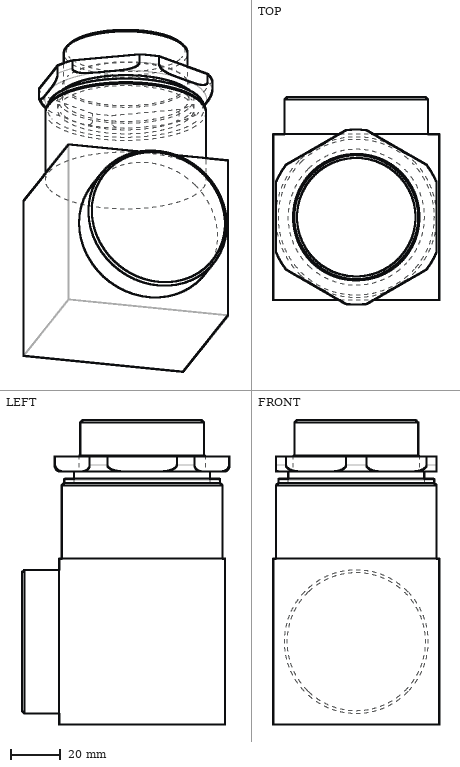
import cadquery as cq
import math

total_height = 123.0
cube_side = 67.0
cube_edge_radius = 0.2
spigot_diameter = 58.0
spigot_length = 15.0
end_chamfer = 1.1

collar_diameter = 65.0
collar_top_z = 97.5
gasket_diameter = 63.0
collar_chamfer = (collar_diameter - gasket_diameter) / 2
neck_diameter = 55.0
nut_seat_diameter = 51.0
thread_diameter = 50.0
nut_seat_chamfer = (nut_seat_diameter - thread_diameter) / 2

gasket_thickness = 1.7
gasket_edge_radius = 0.5

nut_bottom_z = 102.1
nut_thickness = 6.2
nut_top_z = nut_bottom_z + nut_thickness
nut_across_flats = 65.0
nut_corner_diameter = 70.7
nut_edge_radius = 2.7


def cylinder(diameter, bottom_z, top_z):
    """Upright cylinder on the Z axis between two heights."""
    return cq.Workplane("XY").workplane(offset=bottom_z).circle(diameter / 2).extrude(top_z - bottom_z)


def make_housing():
    cube = cq.Workplane("XY").box(cube_side, cube_side, cube_side, centered=(True, True, False))
    cube = cube.edges().fillet(cube_edge_radius)
    spigot = (
        cq.Workplane("XZ", origin=(0, cube_side / 2, cube_side / 2))
        .circle(spigot_diameter / 2)
        .extrude(-spigot_length)
        .faces(">Y")
        .chamfer(end_chamfer)
    )
    return cube.union(spigot)


def make_gland():
    collar = cylinder(collar_diameter, cube_side, collar_top_z).faces(">Z").chamfer(collar_chamfer)
    neck = cylinder(neck_diameter, collar_top_z, nut_bottom_z)
    nut_seat = (
        cylinder(nut_seat_diameter, nut_bottom_z, nut_top_z + nut_seat_chamfer)
        .faces(">Z")
        .chamfer(nut_seat_chamfer)
    )
    thread = cylinder(thread_diameter, nut_bottom_z, total_height).faces(">Z").chamfer(end_chamfer)
    return collar.union(neck).union(nut_seat).union(thread)


def make_gasket():
    top_z = collar_top_z + gasket_thickness
    disc = cylinder(gasket_diameter, collar_top_z, top_z).faces(">Z").edges().fillet(gasket_edge_radius)
    return disc.cut(cylinder(neck_diameter, collar_top_z, top_z))


def make_locknut():
    across_points = nut_across_flats / math.cos(math.pi / 6)
    hexagon = (
        cq.Workplane("XY")
        .workplane(offset=nut_bottom_z)
        .transformed(rotate=(0, 0, 30))
        .polygon(6, across_points)
        .extrude(nut_thickness)
    )
    blank = cylinder(nut_corner_diameter, nut_bottom_z, nut_top_z).faces("<Z").edges().fillet(nut_edge_radius)
    bore = cylinder(nut_seat_diameter, nut_bottom_z, nut_top_z)
    return hexagon.intersect(blank).cut(bore)


housing = make_housing()
gland = make_gland()
gasket = make_gasket()
locknut = make_locknut()

result = cq.Compound.makeCompound([housing.val(), gland.val(), gasket.val(), locknut.val()])